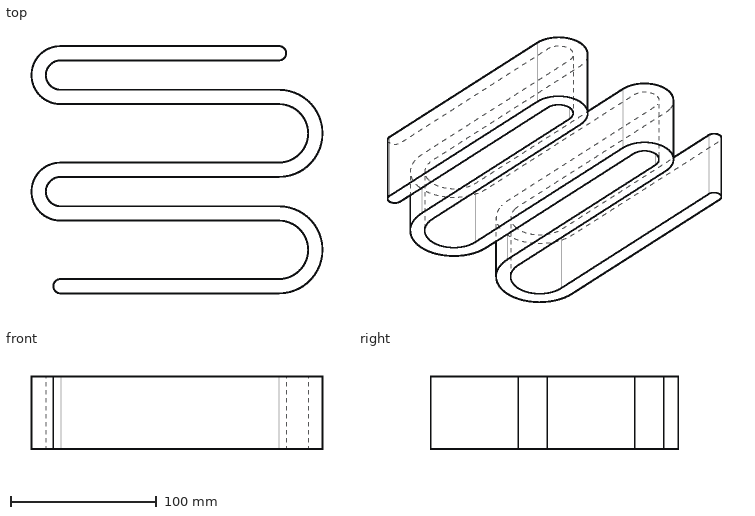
import cadquery as cq

strip_thickness = 10.0
strip_height = 50.0
straight_length = 150.0
large_bend_radius = 25.0
small_bend_radius = 15.0
bend_pairs = 2

half_thickness = strip_thickness / 2
left_x = 0.0
right_x = left_x + straight_length


def add_bend(path, x, y, radius, side):
    """Add a half-circle bend rising from (x, y); side is +1 for right, -1 for left."""
    middle = (x + side * radius, y + radius)
    end = (x, y + 2 * radius)
    return path.threePointArc(middle, end)


def serpentine_centreline():
    """Trace the strip centreline from its front left end to its back right end."""
    path = cq.Workplane("XY").moveTo(left_x, 0)
    y = 0.0
    for _ in range(bend_pairs):
        path = path.lineTo(right_x, y)
        path = add_bend(path, right_x, y, large_bend_radius, 1)
        y += 2 * large_bend_radius
        path = path.lineTo(left_x, y)
        path = add_bend(path, left_x, y, small_bend_radius, -1)
        y += 2 * small_bend_radius
    return path.lineTo(right_x, y).wire()


result = serpentine_centreline().offset2D(half_thickness, "arc").extrude(strip_height)